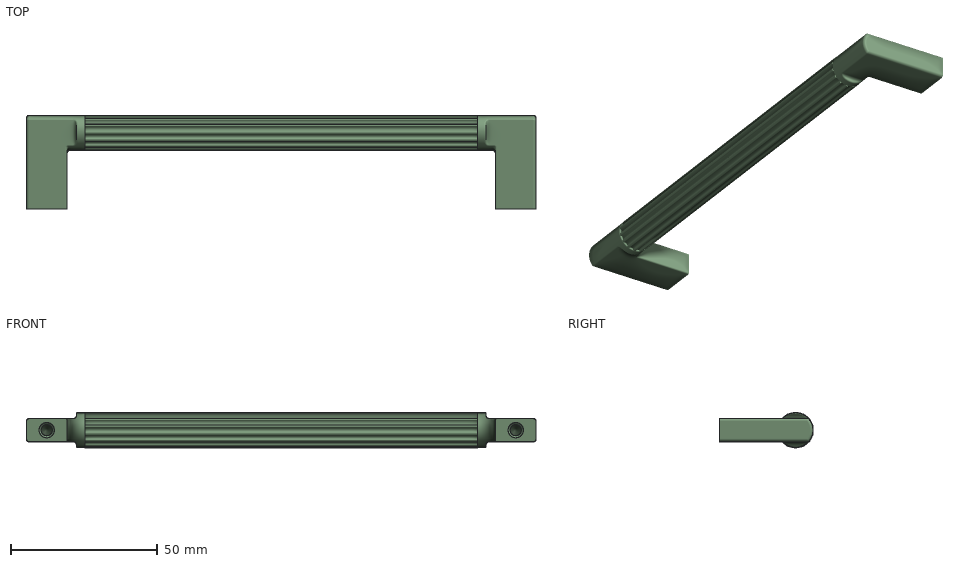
import cadquery as cq
import math

total_length = 174.0
total_depth = 32.0
bar_diameter = 12.2
bar_radius = bar_diameter / 2
collar_diameter = 12.0
collar_radius = collar_diameter / 2
foot_y = collar_radius - total_depth

leg_width = 14.0
leg_thickness = 8.0
collar_start = 17.0
leg_length = 20.0
outer_edge_radius = 1.0
inner_edge_radius = 0.5
corner_radius = 1.0
collar_rim_radius = 0.5
collar_end_radius = 0.3

hole_diameter = 3.8
hole_mouth_diameter = 5.2
hole_depth = 10.0
drill_point_angle = 118

bar_length = total_length - 2 * leg_length
flute_count = 14
flute_radius = 0.9
flute_edge_radius = 0.3

tolerance = 0.02


def collar_rod(start_x, end_x):
    """Rod of the collar diameter along X, turned so that its seam lies on top."""
    rod = (
        cq.Workplane("YZ", origin=(start_x, 0, 0))
        .circle(collar_radius)
        .extrude(end_x - start_x)
    )
    return rod.rotate((0, 0, 0), (1, 0, 0), 90)


def fillet_edges_at(leg, x, radius, edge_type=None):
    """Round the edges lying in the plane at X = x, except the one at the foot."""
    edges = []
    for edge in leg.edges().vals():
        box = edge.BoundingBox()
        in_plane = abs(box.xmin - x) < tolerance and abs(box.xmax - x) < tolerance
        above_foot = box.ymax > foot_y + tolerance
        right_type = edge_type is None or edge.geomType() == edge_type
        if in_plane and above_foot and right_type:
            edges.append(edge)
    return leg.newObject(edges).fillet(radius)


def make_screw_hole():
    """Blind drilled hole with a chamfered mouth, turned about the axis of the leg."""
    bore_radius = hole_diameter / 2
    mouth_radius = hole_mouth_diameter / 2
    mouth_chamfer = mouth_radius - bore_radius
    point_height = bore_radius / math.tan(math.radians(drill_point_angle / 2))
    return (
        cq.Workplane("XY", origin=(leg_width / 2, foot_y, 0))
        .lineTo(mouth_radius, 0)
        .lineTo(bore_radius, mouth_chamfer)
        .lineTo(bore_radius, hole_depth)
        .lineTo(0, hole_depth + point_height)
        .close()
        .revolve(360, (0, 0, 0), (0, 1, 0))
    )


def make_leg():
    """Leg with its outer end at X = 0 and its collar facing +X."""
    neck_slab = cq.Workplane("XY").box(
        collar_start, collar_diameter, leg_thickness, centered=(False, True, True)
    )
    neck = collar_rod(0, leg_length).intersect(neck_slab)
    collar = collar_rod(collar_start, leg_length)
    block = (
        cq.Workplane("XY", origin=(0, foot_y, 0))
        .box(leg_width, -foot_y, leg_thickness, centered=(False, False, True))
    )
    leg = neck.union(collar).union(block)
    leg = fillet_edges_at(leg, 0, outer_edge_radius)
    leg = fillet_edges_at(leg, leg_width, inner_edge_radius, "LINE")
    leg = fillet_edges_at(leg, leg_width, corner_radius, "CIRCLE")
    leg = fillet_edges_at(leg, collar_start, corner_radius, "LINE")
    leg = fillet_edges_at(leg, collar_start, collar_rim_radius)
    leg = fillet_edges_at(leg, leg_length, collar_end_radius)
    return leg.cut(make_screw_hole())


def make_bar():
    """Round bar with rounded-edge flutes evenly spaced around it, one facing straight back."""
    end_plane = cq.Workplane("YZ", origin=(leg_length, 0, 0))
    rod = end_plane.circle(bar_radius).extrude(bar_length)
    flutes = (
        end_plane.polarArray(bar_radius, 0, 360, flute_count)
        .circle(flute_radius)
        .extrude(bar_length)
    )
    return rod.cut(flutes).edges("|X").fillet(flute_edge_radius)


def mirrored(leg):
    """Copy of a leg at the opposite end of the bar."""
    return leg.mirror("YZ", (total_length / 2, 0, 0))


legs = []
for at_far_end in (False, True):
    leg = make_leg()
    legs.append(mirrored(leg) if at_far_end else leg)
bar = make_bar()

result = cq.Compound.makeCompound([bar.val(), *[leg.val() for leg in legs]])